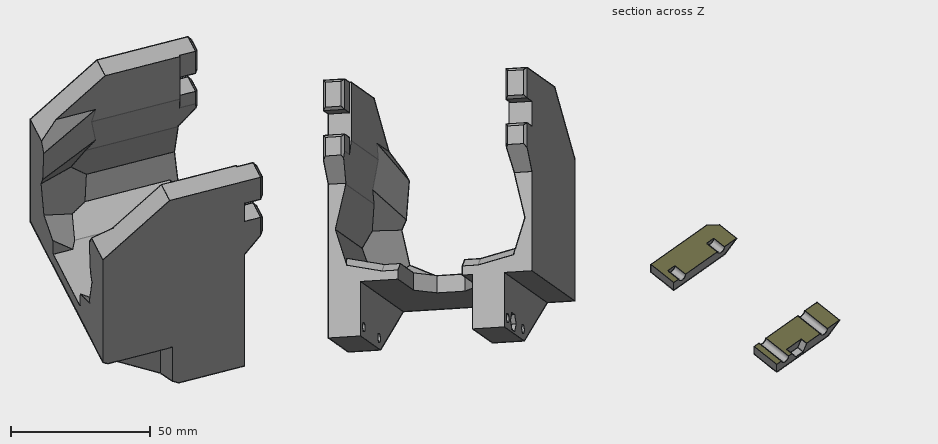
import cadquery as cq
import math

width = 76.0
half_width = width / 2
height = 93.0
back_y = 53.9
lug_tip_y = 61.0
base_bottom_z = 19.9
margin = 9.3

top_slope_y = 25.4
top_slope_z = 71.7
foot_slope_y = 28.8
foot_slope_z = 20.1
upper_lug_bottom_z = 81.8
lower_lug_top_z = 72.8
lower_lug_tip_z = 65.0
lower_lug_root_z = 56.2
lug_inner_x = 30.0
lug_chamfer = 1.0

wall_inner_x = 29.4
floor_z = 26.2
cavity_half = [
    (wall_inner_x, height + margin),
    (wall_inner_x, 71.6),
    (31.4, 55.8),
    (35.3, 39.5),
    (32.1, 29.4),
    (17.95, floor_z),
]
floor_bevel = 3.0

mouth_corners = [
    (wall_inner_x, 77.3),
    (23.8, 67.7),
    (24.9, 53.5),
    (26.6, 49.85),
    (23.6, 36.8),
    (14.4, 32.6),
    (13.9, floor_z),
]
mouth_flares = [0.0, 0.29, 0.37, 0.53, 0.76, 0.0]
mouth_depth = 23.25

notch_half_width = 12.0
notch_tip_half_width = 5.2
notch_shoulder_y = 34.4
notch_tip_y = 27.6

left_foot_x = (-27.7, -15.8)
right_foot_x = (25.95, half_width)

hole_z = 4.1
pin_diameter = 3.3
right_pin_depth = 5.6
hex_depth = 2.8
pin_hole_ys = (49.8, 30.7)
hex_y = 42.8
hex_flat = 6.1
hex_sides = 6

relief_floor_x = 35.0
relief_inner_corner = (23.0, 17.95)
relief_outer_corner = (26.4, 18.8)


def mirrored(half_points):
    """Complete a right-half outline with its mirror image in X."""
    return half_points + [(-x, other) for x, other in reversed(half_points)]


def prism_along_y(points, start_y, end_y):
    """Extrude an (x, z) outline from start_y to end_y."""
    plane = cq.Workplane("XZ", origin=(0, start_y, 0))
    return plane.polyline(points).close().extrude(start_y - end_y)


def make_block():
    """Side outline extruded in X, trimmed to the plan outline with its two back lugs."""
    side = [
        (0, foot_slope_z),
        (0, top_slope_z),
        (top_slope_y, height),
        (lug_tip_y - lug_chamfer, height),
        (lug_tip_y, height - lug_chamfer),
        (lug_tip_y, upper_lug_bottom_z + lug_chamfer),
        (lug_tip_y - lug_chamfer, upper_lug_bottom_z),
        (back_y, upper_lug_bottom_z),
        (back_y, lower_lug_top_z),
        (lug_tip_y - lug_chamfer, lower_lug_top_z),
        (lug_tip_y, lower_lug_top_z - lug_chamfer),
        (lug_tip_y, lower_lug_tip_z),
        (back_y, lower_lug_root_z),
        (back_y, 0),
        (foot_slope_y, 0),
    ]
    plan_half = [
        (half_width, 0),
        (half_width, lug_tip_y - lug_chamfer),
        (half_width - lug_chamfer, lug_tip_y),
        (lug_inner_x + lug_chamfer, lug_tip_y),
        (lug_inner_x, lug_tip_y - lug_chamfer),
        (lug_inner_x, back_y),
    ]
    block = cq.Workplane("YZ").polyline(side).close().extrude(half_width, both=True)
    plan = cq.Workplane("XY").polyline(mirrored(plan_half)).close().extrude(height)
    return block.intersect(plan)


def line_from(start, end):
    """Line through two points, as (point, direction)."""
    return (start, (end[0] - start[0], end[1] - start[1]))


def line_crossing(first, second):
    """Crossing of two lines, each given as (point, direction) in the XZ plane."""
    (x1, z1), (dx1, dz1) = first
    (x2, z2), (dx2, dz2) = second
    along = ((x2 - x1) * dz2 - (z2 - z1) * dx2) / (dx1 * dz2 - dz1 * dx2)
    return (x1 + along * dx1, z1 + along * dz1)


def mouth_section(depth):
    """Right half of the flared mouth at a given depth behind the front face."""
    lines = [((0, height + margin), (1, 0))]
    for start, end, flare in zip(mouth_corners, mouth_corners[1:], mouth_flares):
        dx = end[0] - start[0]
        dz = end[1] - start[1]
        shift = flare * depth / math.hypot(dx, dz)
        lines.append(((start[0] - dz * shift, start[1] + dx * shift), (dx, dz)))
    lines.append(((0, 0), (1, 0)))
    return [line_crossing(a, b) for a, b in zip(lines, lines[1:])]


def make_cavity():
    """Straight cavity that narrows to the mouth section near the front face."""
    inner = prism_along_y(mirrored(cavity_half), 0, lug_tip_y)
    flare = (
        cq.Workplane("XZ")
        .polyline(mirrored(mouth_section(0))).close()
        .workplane(offset=-mouth_depth)
        .polyline(mirrored(mouth_section(mouth_depth))).close()
        .loft(ruled=True)
    )
    behind = prism_along_y(mirrored(cavity_half), mouth_depth, lug_tip_y)
    return inner.intersect(flare).union(behind)


def make_floor_bevel():
    """Wedge that slopes the floor down to the back face between the side walls."""
    side_top, side_bottom, floor_edge = cavity_half[-3:]
    side_line = line_from(side_top, side_bottom)
    sunk_side_bottom = (side_bottom[0], side_bottom[1] - floor_bevel)
    sunk_floor_edge = (floor_edge[0], floor_edge[1] - floor_bevel)
    sunk_corner = line_crossing(side_line, line_from(sunk_side_bottom, sunk_floor_edge))
    return (
        cq.Workplane("XZ", origin=(0, back_y - floor_bevel, 0))
        .polyline(mirrored([side_top, side_bottom, floor_edge])).close()
        .workplane(offset=-floor_bevel)
        .polyline(mirrored([side_top, sunk_corner, sunk_floor_edge])).close()
        .loft(ruled=True)
    )


def make_notch():
    """Notch through the base, with a chamfered inner end."""
    half = [
        (notch_half_width, back_y + margin),
        (notch_half_width, notch_shoulder_y),
        (notch_tip_half_width, notch_tip_y),
    ]
    outline = cq.Workplane("XY").polyline(mirrored(half)).close()
    return outline.extrude(floor_z + margin)


def make_foot_gap(start_x, end_x):
    """Space below the base beside a foot."""
    corner = cq.Workplane("XY", origin=(start_x, 0, 0))
    return corner.box(end_x - start_x, back_y, base_bottom_z, centered=False)


def make_pin_holes():
    """Pin holes that enter from the left and end inside the right foot."""
    plane = cq.Workplane("YZ", origin=(left_foot_x[0], 0, 0))
    length = right_foot_x[0] + right_pin_depth - left_foot_x[0]
    centres = [(y, hole_z) for y in pin_hole_ys]
    return plane.pushPoints(centres).circle(pin_diameter / 2).extrude(length)


def make_nut_pocket():
    plane = cq.Workplane("YZ", origin=(left_foot_x[0], hex_y, hole_z))
    hex_corner_diameter = hex_flat / math.cos(math.pi / hex_sides)
    return plane.polygon(hex_sides, hex_corner_diameter).extrude(hex_depth)


def make_relief():
    """Recess in the outer side of the right foot, widening outwards."""
    def section(workplane, corner):
        y, z = corner
        return workplane.polyline([(-margin, 0), (y, 0), (y, z), (-margin, z)]).close()

    inner = section(cq.Workplane("YZ", origin=(relief_floor_x, 0, 0)), relief_inner_corner)
    outer = section(inner.workplane(offset=half_width - relief_floor_x), relief_outer_corner)
    return outer.loft(ruled=True)


foot_gaps = [
    (-half_width, left_foot_x[0]),
    (left_foot_x[1], right_foot_x[0]),
]

result = make_block()
result = result.cut(make_cavity()).cut(make_floor_bevel()).cut(make_notch())
for start_x, end_x in foot_gaps:
    result = result.cut(make_foot_gap(start_x, end_x))
result = result.cut(make_pin_holes()).cut(make_nut_pocket()).cut(make_relief())